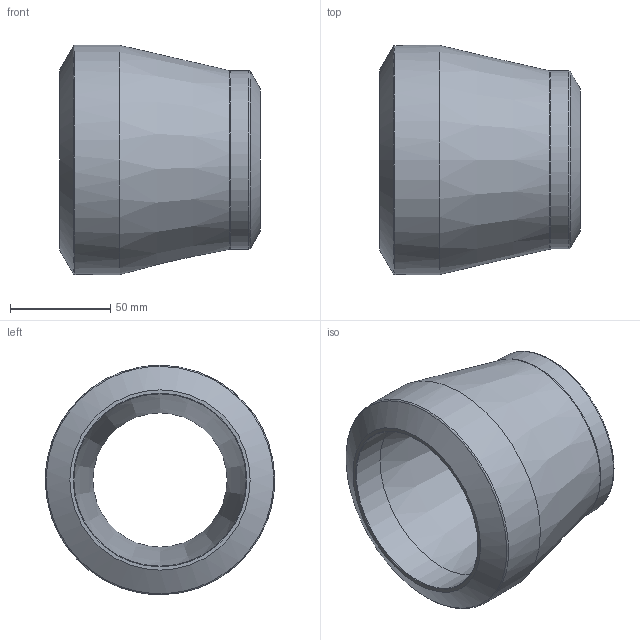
import cadquery as cq
import math

length = 100.0
large_outer_diameter = 114.3
large_bore_diameter = 85.9
small_outer_diameter = 88.9
small_bore_diameter = 66.9

large_outer_straight_length = 30.0
small_straight_length = 15.0
large_bore_straight_length = 17.0

root_face = 2.0
bevel_angle = 30.0
bevel_rounding = 1.0
bore_edge_rounding = 0.3

taper_rounding = 2.0

large_outer_radius = large_outer_diameter / 2
large_bore_radius = large_bore_diameter / 2
small_outer_radius = small_outer_diameter / 2
small_bore_radius = small_bore_diameter / 2

outer_taper_start = large_outer_straight_length
bore_taper_start = large_bore_straight_length
taper_end = length - small_straight_length


def bevel_length(outer_radius, bore_radius):
    """Axial length of the weld bevel left between the root face and the outer cylinder."""
    return (outer_radius - bore_radius - root_face) * math.tan(math.radians(bevel_angle))


large_bevel_end = bevel_length(large_outer_radius, large_bore_radius)
small_bevel_start = length - bevel_length(small_outer_radius, small_bore_radius)


def round_circular_edge(body, position, radius, rounding):
    """Round the circular edge of the given radius centred on the axis at the given position."""
    tolerance = 0.01
    reach = radius + tolerance
    edge_box = cq.selectors.BoxSelector(
        (position - tolerance, -reach, -reach),
        (position + tolerance, reach, reach),
        boundingbox=True,
    )
    return body.edges(edge_box).edges(cq.selectors.RadiusNthSelector(-1)).fillet(rounding)


def revolve_wall():
    """Revolve the half section of the wall, with sharp edges, about the X axis."""
    full_turn = 360
    section = (
        cq.Workplane("XZ")
        .moveTo(0, large_bore_radius)
        .lineTo(0, large_bore_radius + root_face)
        .lineTo(large_bevel_end, large_outer_radius)
        .lineTo(outer_taper_start, large_outer_radius)
        .lineTo(taper_end, small_outer_radius)
        .lineTo(small_bevel_start, small_outer_radius)
        .lineTo(length, small_bore_radius + root_face)
        .lineTo(length, small_bore_radius)
        .lineTo(taper_end, small_bore_radius)
        .lineTo(bore_taper_start, large_bore_radius)
        .close()
    )
    return section.revolve(full_turn, (0, 0, 0), (1, 0, 0))


result = revolve_wall()
result = round_circular_edge(result, large_bevel_end, large_outer_radius, bevel_rounding)
result = round_circular_edge(result, small_bevel_start, small_outer_radius, bevel_rounding)
result = round_circular_edge(result, taper_end, small_outer_radius, taper_rounding)
result = round_circular_edge(result, 0, large_bore_radius, bore_edge_rounding)